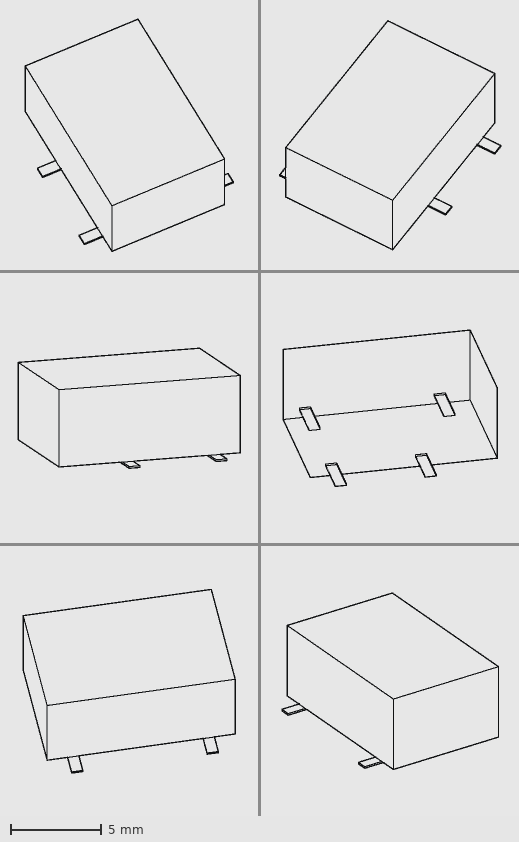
import cadquery as cq

housing_length = 10.6
housing_depth = 7.0
housing_height = 4.4

lead_width = 0.64
lead_length = 2.5
lead_thickness = 0.11
lead_overhang = 1.12
lead_pitch = 2.54

lead_places = [(-1.5, 1), (1.5, 1), (-0.5, -1), (1.5, -1)]


def make_housing():
    """Plain block standing on the plane Z = 0."""
    return cq.Workplane("XY").box(
        housing_length, housing_depth, housing_height, centered=(True, True, False)
    )


def make_lead(column, side):
    """Flat strip under the housing, reaching out past its +Y or -Y side."""
    outer_end = housing_depth / 2 + lead_overhang
    center_y = side * (outer_end - lead_length / 2)
    strip = cq.Workplane("XY").box(
        lead_width, lead_length, lead_thickness, centered=(True, True, False)
    )
    return strip.translate((column * lead_pitch, center_y, -lead_thickness))


housing = make_housing()
leads = [make_lead(column, side) for column, side in lead_places]

result = cq.Compound.makeCompound([housing.val(), *[lead.val() for lead in leads]])